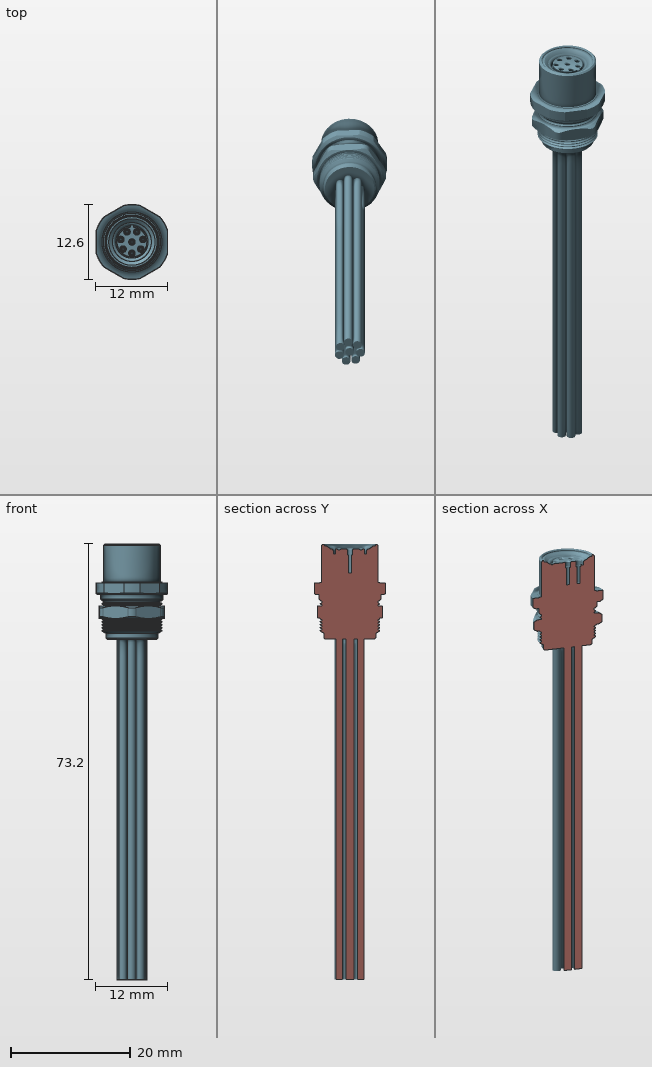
import cadquery as cq
import math

TOTAL_LENGTH = 73.2
SLEEVE_LENGTH = 6.5
FLANGE_HEIGHT = 2.0
SEAL_HEIGHT = 1.1
BODY_LENGTH = 16.0
COLLAR_HEIGHT = 0.98
RUNOUT_HEIGHT = 0.42

SLEEVE_RADIUS = 4.8
SLEEVE_CHAMFER = 0.25
SHOULDER_RADIUS = 5.05
SHOULDER_HEIGHT = 0.1
SEAL_RADIUS = 5.25
SEAL_CHAMFER = 0.35
COLLAR_RADIUS = 4.4
COLLAR_CHAMFER = 0.25

THREAD_RADIUS = 5.05
THREAD_PITCH = 0.5
THREAD_DEPTH = 0.3
THREAD_FLAT = THREAD_PITCH / 5

HEXAGON_SIDES = 6
FLANGE_FLATS = 12.0
FLANGE_CORNERS = 12.6
FLANGE_FACE_RADIUS = 5.75
NUT_FLATS = 11.0
NUT_CORNERS = 12.3
NUT_CORNER_FILLET = 1.35
NUT_FACE_RADIUS = 5.5
CONE_ANGLE = 30.0
NUT_HEIGHT = 2.1
NUT_TOP = -10.4

LIP_RADIUS = 4.4
LIP_CHAMFER = 0.15
FUNNEL_TOP_RADIUS = 3.9
FUNNEL_TOP_DEPTH = 0.3
CARRIER_DEPTH = 0.8
LEDGE_DEPTH = 0.75
LEDGE_ROUNDING = 0.55
CARRIER_RADIUS = 2.5
CARRIER_GAP = 0.22
CARRIER_GAP_DEPTH = 0.8
KEY_WIDTH = 0.5
SOCKET_DIAMETER = 0.45
SOCKET_DEPTH = 1.0
CONTACT_DIAMETER = 0.8
CONTACT_DEPTH = 4.0
COUNTERSINK_DIAMETER = 1.1
COUNTERSINK_DEPTH = 0.15

OUTER_CONTACTS = 7
CONTACT_CIRCLE_RADIUS = 1.9
WIRE_CIRCLE_RADIUS = 1.84
WIRE_DIAMETER = 1.45
FIRST_ANGLE = -90.0

FLANGE_TOP = -SLEEVE_LENGTH
FLANGE_BOTTOM = FLANGE_TOP - FLANGE_HEIGHT
SEAL_BOTTOM = FLANGE_BOTTOM - SEAL_HEIGHT
BODY_BOTTOM = -BODY_LENGTH
COLLAR_TOP = BODY_BOTTOM + COLLAR_HEIGHT
THREAD_BOTTOM = COLLAR_TOP + RUNOUT_HEIGHT


def cylinder(radius, bottom, top):
    """Cylinder on the Z axis between two heights."""
    return cq.Workplane("XY").workplane(offset=bottom).circle(radius).extrude(top - bottom)


def positions(circle_radius):
    """Centre position followed by the evenly spaced positions around it."""
    points = [(0, 0)]
    for index in range(OUTER_CONTACTS):
        angle = math.radians(FIRST_ANGLE + index * 360 / OUTER_CONTACTS)
        points.append((circle_radius * math.cos(angle), circle_radius * math.sin(angle)))
    return points


def hexagon(flats, bottom, top):
    """Hexagonal prism with two of its flats facing the X axis."""
    across_corners = flats / math.cos(math.pi / HEXAGON_SIDES)
    base = cq.Workplane("XY").workplane(offset=bottom).polygon(HEXAGON_SIDES, across_corners)
    return base.extrude(top - bottom).rotate((0, 0, 0), (0, 0, 1), 180 / HEXAGON_SIDES)


def turned_blank(corners, face_radius, bottom, top):
    """Cylinder through the hexagon corners with a shallow cone at both ends."""
    radius = corners / 2
    cone_height = (radius - face_radius) * math.tan(math.radians(CONE_ANGLE))
    return (
        cq.Workplane("XZ")
        .moveTo(0, bottom)
        .lineTo(face_radius, bottom)
        .lineTo(radius, bottom + cone_height)
        .lineTo(radius, top - cone_height)
        .lineTo(face_radius, top)
        .lineTo(0, top)
        .close()
        .revolve(360, (0, 0, 0), (0, 1, 0))
    )


def flange():
    """Hexagon with corners turned to a cylinder and a cone on the seal side only."""
    blank = turned_blank(FLANGE_CORNERS, FLANGE_FACE_RADIUS, FLANGE_BOTTOM, FLANGE_TOP + FLANGE_HEIGHT)
    return hexagon(FLANGE_FLATS, FLANGE_BOTTOM, FLANGE_TOP).intersect(blank)


def lock_nut():
    """Hexagon with filleted corners and turned cones at both ends."""
    bottom = NUT_TOP - NUT_HEIGHT
    prism = hexagon(NUT_FLATS, bottom, NUT_TOP).edges("|Z").fillet(NUT_CORNER_FILLET)
    return prism.intersect(turned_blank(NUT_CORNERS, NUT_FACE_RADIUS, bottom, NUT_TOP))


def threaded_barrel():
    """Barrel with evenly pitched grooves, ending in a cone down to the collar."""
    root = THREAD_RADIUS - THREAD_DEPTH
    flank = THREAD_PITCH / 2 - THREAD_FLAT
    ridges = int((SEAL_BOTTOM - THREAD_BOTTOM) / THREAD_PITCH)
    profile = cq.Workplane("XZ").moveTo(0, COLLAR_TOP).lineTo(COLLAR_RADIUS, COLLAR_TOP)
    for ridge in range(ridges):
        crest_start = THREAD_BOTTOM + ridge * THREAD_PITCH
        crest_end = crest_start + THREAD_FLAT
        root_start = crest_end + flank
        profile = (
            profile.lineTo(THREAD_RADIUS, crest_start)
            .lineTo(THREAD_RADIUS, crest_end)
            .lineTo(root, root_start)
            .lineTo(root, root_start + THREAD_FLAT)
        )
    profile = profile.lineTo(root, SEAL_BOTTOM).lineTo(0, SEAL_BOTTOM).close()
    return profile.revolve(360, (0, 0, 0), (0, 1, 0))


def body():
    """Outer shape of the connector without recess, contacts or wires."""
    sleeve = cylinder(SLEEVE_RADIUS, FLANGE_TOP, 0).faces(">Z").chamfer(SLEEVE_CHAMFER)
    shoulder = cylinder(SHOULDER_RADIUS, FLANGE_TOP, FLANGE_TOP + SHOULDER_HEIGHT)
    seal = cylinder(SEAL_RADIUS, SEAL_BOTTOM, FLANGE_BOTTOM).faces("<Z").chamfer(SEAL_CHAMFER)
    collar = cylinder(COLLAR_RADIUS, BODY_BOTTOM, COLLAR_TOP).faces("<Z").chamfer(COLLAR_CHAMFER)
    solid = sleeve
    for section in (shoulder, flange(), seal, threaded_barrel(), lock_nut(), collar):
        solid = solid.union(section)
    return solid


def mating_recess():
    """Chamfered lip, funnel, rounded ledge, and the ring gap around the carrier."""
    bore_radius = LIP_RADIUS - LIP_CHAMFER
    gap_radius = CARRIER_RADIUS + CARRIER_GAP
    gap_floor = -CARRIER_DEPTH - CARRIER_GAP_DEPTH
    arc_offset = LEDGE_ROUNDING * math.sin(math.pi / 4)
    arc_radius = gap_radius + LEDGE_ROUNDING
    arc_height = -LEDGE_DEPTH - LEDGE_ROUNDING
    return (
        cq.Workplane("XZ")
        .lineTo(LIP_RADIUS, 0)
        .lineTo(bore_radius, -LIP_CHAMFER)
        .lineTo(bore_radius, -FUNNEL_TOP_DEPTH)
        .lineTo(FUNNEL_TOP_RADIUS, -FUNNEL_TOP_DEPTH)
        .lineTo(arc_radius, -LEDGE_DEPTH)
        .threePointArc((arc_radius - arc_offset, arc_height + arc_offset), (gap_radius, arc_height))
        .lineTo(gap_radius, gap_floor)
        .lineTo(CARRIER_RADIUS, gap_floor)
        .lineTo(CARRIER_RADIUS, -CARRIER_DEPTH)
        .lineTo(0, -CARRIER_DEPTH)
        .close()
        .revolve(360, (0, 0, 0), (0, 1, 0))
    )


def coding_key():
    """Small bridge across the carrier gap on the +Y side."""
    return (
        cq.Workplane("XY")
        .workplane(offset=-CARRIER_DEPTH - CARRIER_GAP_DEPTH)
        .center(0, CARRIER_RADIUS + CARRIER_GAP / 2)
        .rect(KEY_WIDTH, 2 * CARRIER_GAP)
        .extrude(CARRIER_GAP_DEPTH)
    )


def contact_holes():
    """Blind contact holes with countersunk entries and a narrower socket at depth."""
    hole = (
        cq.Workplane("XZ")
        .moveTo(0, -CARRIER_DEPTH)
        .lineTo(COUNTERSINK_DIAMETER / 2, -CARRIER_DEPTH)
        .lineTo(CONTACT_DIAMETER / 2, -CARRIER_DEPTH - COUNTERSINK_DEPTH)
        .lineTo(CONTACT_DIAMETER / 2, -CARRIER_DEPTH - SOCKET_DEPTH)
        .lineTo(SOCKET_DIAMETER / 2, -CARRIER_DEPTH - SOCKET_DEPTH)
        .lineTo(SOCKET_DIAMETER / 2, -CARRIER_DEPTH - CONTACT_DEPTH)
        .lineTo(0, -CARRIER_DEPTH - CONTACT_DEPTH)
        .close()
        .revolve(360, (0, 0, 0), (0, 1, 0))
    )
    holes = cq.Workplane("XY")
    for x, y in positions(CONTACT_CIRCLE_RADIUS):
        holes = holes.add(hole.translate((x, y, 0)))
    return holes.combine()


def wires():
    """Straight wires running from the collar to the far end."""
    bundle = None
    for x, y in positions(WIRE_CIRCLE_RADIUS):
        wire = cylinder(WIRE_DIAMETER / 2, -TOTAL_LENGTH, BODY_BOTTOM).translate((x, y, 0))
        bundle = wire if bundle is None else bundle.union(wire)
    return bundle


shell = body().cut(mating_recess()).union(coding_key())
result = shell.cut(contact_holes()).union(wires())